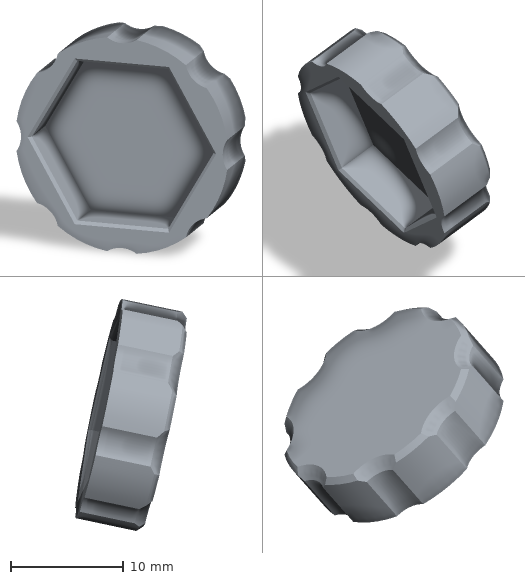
import cadquery as cq
import math

body_radius = 10.0
thickness = 6.0
rim_chamfer = 0.5

groove_count = 8
groove_radius = 2.5
groove_centre_distance = 11.99
groove_chamfer = 2 * rim_chamfer

pocket_flats = 14.8
pocket_depth = 4.0
pocket_chamfer = 0.28

front_y = -thickness / 2
back_y = thickness / 2


def face_plane(y):
    """Plane across the axis at height y, facing +Y, with its local x along X."""
    return cq.Plane(origin=(0, y, 0), xDir=(1, 0, 0), normal=(0, 1, 0))


def make_body():
    """Plain disc with a chamfered back rim."""
    disc = cq.Workplane(face_plane(front_y)).circle(body_radius).extrude(thickness)
    return disc.faces(">Y").chamfer(rim_chamfer)


def make_groove():
    """Cutter for one groove: a cylinder that flares out at 45 degrees at the back."""
    flare_start = back_y - groove_chamfer
    profile = [
        (0, front_y),
        (groove_radius, front_y),
        (groove_radius, flare_start),
        (groove_radius + groove_chamfer, back_y),
        (0, back_y),
    ]
    cutter = cq.Workplane("XY").polyline(profile).close().revolve(360, (0, 0), (0, 1))
    return cutter.translate((groove_centre_distance, 0, 0))


def hexagon(y, flats):
    """Hexagon of the given width across flats, drawn across the axis at height y."""
    corner_diameter = flats / math.cos(math.pi / 6)
    return cq.Workplane(face_plane(y)).polygon(6, corner_diameter)


def make_pocket():
    """Cutter for the hexagonal pocket and its 45 degree lead-in chamfer."""
    mouth_flats = pocket_flats + 2 * pocket_chamfer
    straight = hexagon(front_y, pocket_flats).extrude(pocket_depth)
    lead_in = hexagon(front_y, mouth_flats).extrude(pocket_chamfer, taper=45)
    return straight.union(lead_in)


result = make_body()
groove = make_groove()
for index in range(groove_count):
    angle = index * 360 / groove_count
    result = result.cut(groove.rotate((0, 0, 0), (0, 1, 0), angle))
result = result.cut(make_pocket())